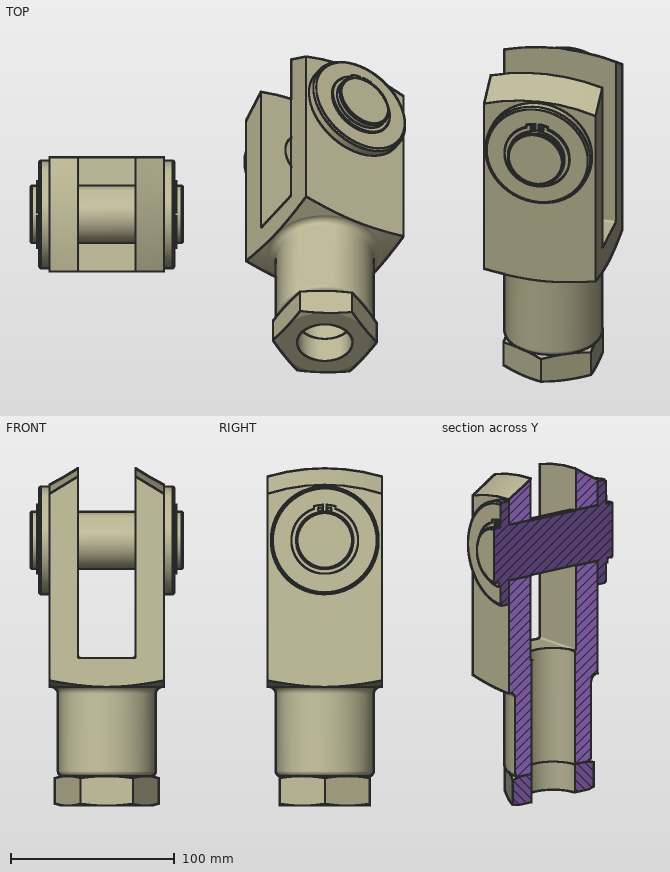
import cadquery as cq
import math

nut_flats = 55.0
nut_height = 18.0
nut_chamfer_angle = 15.0
bore_diameter = 33.8

shank_diameter = 60.0
shank_end_round = 3.0
neck_fillet = 4.3
head_width = 70.0
head_bottom = 72.5
head_bottom_angle = 15.0
slot_width = 35.0
slot_floor = 90.2
slot_fillet = 1.2
overall_height = 206.0
top_slope_angle = 30.0
top_crown_radius = 123.5

pin_diameter = 35.0
pin_length = 93.0
pin_chamfer = 0.8
pin_height = 162.0
washer_diameter = 66.0
washer_thickness = 6.4
washer_chamfer = 1.2
clip_diameter = 40.8
clip_thickness = 1.2
lug_radius = 21.8
lug_width = 13.4
clip_gap = 2.0
clip_hole_diameter = 2.5
clip_hole_spacing = 5.5
clip_hole_height = 19.0


def rise(run, angle):
    """Height gained by a slope over a horizontal run."""
    return run * math.tan(math.radians(angle))


def make_nut():
    """Hexagon nut, corners on the X axis, with its corners chamfered at both ends."""
    flat_radius = nut_flats / 2
    corner_diameter = nut_flats / math.cos(math.radians(30))
    corner_radius = corner_diameter / 2
    corner_drop = rise(corner_radius - flat_radius, nut_chamfer_angle)
    hexagon = cq.Workplane("XY").polygon(6, corner_diameter).extrude(nut_height)
    envelope = (
        cq.Workplane("XZ")
        .moveTo(0, 0)
        .lineTo(flat_radius, 0)
        .lineTo(corner_radius, corner_drop)
        .lineTo(corner_radius, nut_height - corner_drop)
        .lineTo(flat_radius, nut_height)
        .lineTo(0, nut_height)
        .close()
        .revolve(360, (0, 0), (0, 1))
    )
    bore = cq.Workplane("XY").circle(bore_diameter / 2).extrude(nut_height)
    return hexagon.intersect(envelope).cut(bore)


def make_head():
    """Square block with a conical underside and a crowned, sloping top."""
    half_width = head_width / 2
    half_slot = slot_width / 2
    block = (
        cq.Workplane("XY", origin=(0, 0, head_bottom))
        .rect(head_width, head_width)
        .extrude(overall_height - head_bottom)
    )

    corner_radius = head_width
    underside = (
        cq.Workplane("XZ")
        .moveTo(0, head_bottom)
        .lineTo(half_width, head_bottom)
        .lineTo(corner_radius, head_bottom + rise(corner_radius - half_width, head_bottom_angle))
        .lineTo(corner_radius, overall_height)
        .lineTo(0, overall_height)
        .close()
        .revolve(360, (0, 0), (0, 1))
    )

    crown_axis = overall_height - top_crown_radius
    outer_height = overall_height - rise(half_width - half_slot, top_slope_angle)
    crown = (
        cq.Workplane("XZ")
        .moveTo(-half_width, crown_axis)
        .lineTo(-half_width, outer_height)
        .lineTo(-half_slot, overall_height)
        .lineTo(half_slot, overall_height)
        .lineTo(half_width, outer_height)
        .lineTo(half_width, crown_axis)
        .close()
        .revolve(360, (0, crown_axis), (1, crown_axis))
    )
    return block.intersect(underside).intersect(crown)


def make_shank():
    """Round shank, rounded at its lower end and flared into the head by a fillet."""
    radius = shank_diameter / 2
    bottom = nut_height
    diagonal = math.sqrt(0.5)
    round_offset = shank_end_round * (1 - diagonal)
    neck_offset = neck_fillet * (1 - diagonal)
    return (
        cq.Workplane("XZ")
        .moveTo(0, bottom)
        .lineTo(radius - shank_end_round, bottom)
        .threePointArc(
            (radius - round_offset, bottom + round_offset),
            (radius, bottom + shank_end_round),
        )
        .lineTo(radius, head_bottom - neck_fillet)
        .threePointArc(
            (radius + neck_offset, head_bottom - neck_offset),
            (radius + neck_fillet, head_bottom),
        )
        .lineTo(0, head_bottom)
        .close()
        .revolve(360, (0, 0), (0, 1))
    )


def make_fork():
    """Fork with its slot, cross hole for the pin and axial bore."""
    slot = (
        cq.Workplane("XY", origin=(0, 0, slot_floor))
        .rect(slot_width, head_width)
        .extrude(overall_height - slot_floor)
        .edges("|Y and <Z")
        .fillet(slot_fillet)
    )
    bore = (
        cq.Workplane("XY", origin=(0, 0, nut_height))
        .circle(bore_diameter / 2)
        .extrude(slot_floor - nut_height)
    )
    cross_hole = (
        cq.Workplane("YZ", origin=(0, 0, pin_height))
        .circle(pin_diameter / 2)
        .extrude(head_width / 2, both=True)
    )
    return make_head().union(make_shank()).cut(slot).cut(bore).cut(cross_hole)


def make_clip(inner_face):
    """Circlip starting at x = inner_face, with two drilled lugs beside a gap at the top."""
    plane = cq.Workplane("YZ", origin=(inner_face, 0, pin_height))
    ring = plane.circle(clip_diameter / 2).extrude(clip_thickness)
    lugs = (
        plane.center(0, lug_radius / 2)
        .rect(lug_width, lug_radius)
        .extrude(clip_thickness)
        .intersect(plane.circle(lug_radius).extrude(clip_thickness))
    )
    gap = plane.center(0, lug_radius / 2).rect(clip_gap, lug_radius).extrude(clip_thickness)
    half_spacing = clip_hole_spacing / 2
    holes = (
        plane.pushPoints([(-half_spacing, clip_hole_height), (half_spacing, clip_hole_height)])
        .circle(clip_hole_diameter / 2)
        .extrude(clip_thickness)
    )
    return ring.union(lugs).cut(gap).cut(holes)


def make_pin():
    """Pin carrying a chamfered washer and a circlip outside each fork cheek."""
    shaft = (
        cq.Workplane("YZ", origin=(0, 0, pin_height))
        .circle(pin_diameter / 2)
        .extrude(pin_length / 2, both=True)
        .faces("<X or >X")
        .chamfer(pin_chamfer)
    )
    washer = (
        cq.Workplane("YZ", origin=(head_width / 2, 0, pin_height))
        .circle(washer_diameter / 2)
        .extrude(washer_thickness)
        .faces(">X")
        .chamfer(washer_chamfer)
    )
    retainer = washer.union(make_clip(head_width / 2 + washer_thickness))
    return shaft.union(retainer).union(retainer.mirror("YZ"))


nut = make_nut()
fork = make_fork()
pin = make_pin()

result = cq.Compound.makeCompound([fork.solids().val(), nut.solids().val(), pin.solids().val()])